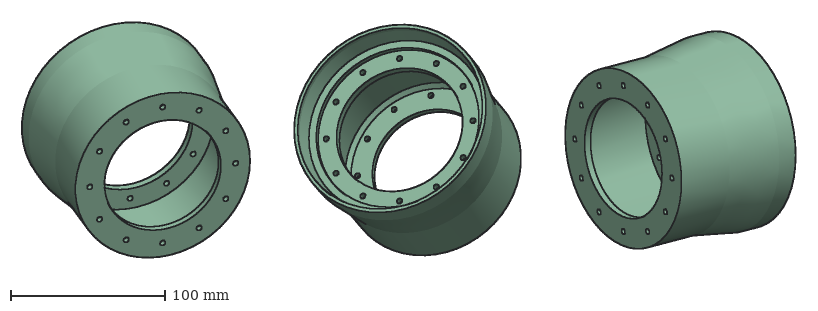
import cadquery as cq

length = 91.0
rim_radius = 65.5
body_radius = 60.0
rim_end = 13.9
taper_end = 50.8

mouth_radius = 63.0
lip_depth = 4.0
mouth_floor_radius = 60.5
mouth_depth = 16.0

recess_radius = 55.5
recess_depth = 4.0
flange_thickness = 6.0
flange_bore_radius = 43.0
recess_floor = mouth_depth + recess_depth
flange_back = recess_floor + flange_thickness

cavity_radius = 57.5
cavity_chamfer = 3.0
end_wall_thickness = 5.0
end_bore_radius = 40.0
end_wall_face = length - end_wall_thickness
cavity_end = end_wall_face - cavity_chamfer

hole_count = 12
hole_diameter = 3.5
hole_circle_radius = 50.0


def make_shell():
    """Revolve the half section, given as (X, radius), about the X axis."""
    return (
        cq.Workplane("XY")
        .moveTo(0, mouth_radius)
        .lineTo(0, rim_radius)
        .lineTo(rim_end, rim_radius)
        .lineTo(taper_end, body_radius)
        .lineTo(length, body_radius)
        .lineTo(length, end_bore_radius)
        .lineTo(end_wall_face, end_bore_radius)
        .lineTo(end_wall_face, cavity_radius - cavity_chamfer)
        .lineTo(cavity_end, cavity_radius)
        .lineTo(flange_back, cavity_radius)
        .lineTo(flange_back, flange_bore_radius)
        .lineTo(recess_floor, flange_bore_radius)
        .lineTo(recess_floor, recess_radius)
        .lineTo(mouth_depth, recess_radius)
        .lineTo(mouth_depth, mouth_floor_radius)
        .lineTo(lip_depth, mouth_radius)
        .close()
        .revolve(360, (0, 0, 0), (1, 0, 0))
    )


def make_bolt_holes():
    """Full-length pins that cut the matching holes in flange and end wall."""
    return (
        cq.Workplane("YZ")
        .polarArray(hole_circle_radius, 0, 360, hole_count)
        .circle(hole_diameter / 2)
        .extrude(length)
    )


result = make_shell().cut(make_bolt_holes())